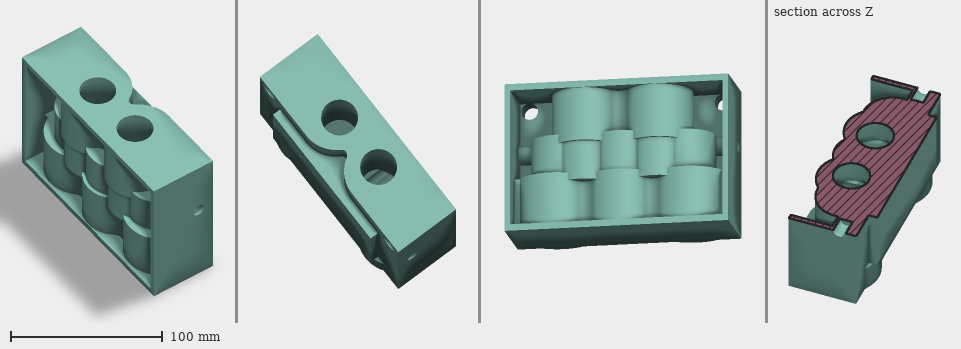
import cadquery as cq
import math

LENGTH = 150.0
HEIGHT = 100.0
BODY_DEPTH = 48.0
SIDE_WALL = 3.9
END_WALL = 4.4
POCKET_DEPTH = 36.0
INNER_HALF_LENGTH = LENGTH / 2 - SIDE_WALL
POCKET_TOP = HEIGHT - END_WALL

LOWER_TOP = 39.0
MIDDLE_BOTTOM = 34.0
MIDDLE_TOP = 65.8
UPPER_BOTTOM = 60.0

UPPER_X = 24.6
UPPER_Y = 23.2
UPPER_RADIUS = 22.5
LOWER_X = 45.0
OUTER_LOWER_Y = 27.2
OUTER_LOWER_RADIUS = 25.2
UPPER_TUBES = [(side * UPPER_X, UPPER_Y, UPPER_RADIUS) for side in (-1, 1)]
LOWER_TUBES = [
    (-LOWER_X, OUTER_LOWER_Y, OUTER_LOWER_RADIUS),
    (0, 23.0, 22.5),
    (LOWER_X, OUTER_LOWER_Y, OUTER_LOWER_RADIUS),
]
WEB_RADIUS = 6.8

LOBE_RADIUS = 20.4
LOBE_Y = UPPER_Y
OUTER_LOBE_X = 41.2
OUTER_LOBE_Y = 27.3

BLOCK_FRONT = 15.9

PLATE_WIDTH = 105.9
PLATE_BOTTOM = 18.2
PLATE_TOP = 81.9
PLATE_BACK = 54.0
NOTCH_LOBE_RADIUS = BODY_DEPTH - UPPER_Y
NOTCH_ROOT_RADIUS = 3.8

WELL_X = 21.2
WELL_Y = 23.1
WELL_RADIUS = 12.2
WELL_FLOOR = 45.0
TROUGH_X = 15.8
TROUGH_RADIUS = 3.6

CORNER_HOLE_X = 64.8
CORNER_HOLE_Z = 90.5
CORNER_HOLE_RADIUS = 5.5

PIN_Y = POCKET_DEPTH
PIN_Z = 60.5
PIN_HOLE_RADIUS = 4.4
PIN_HOLE_DEPTH = 12.0
PIN_BOSS_RADIUS = 6.6


def box(x0, x1, y0, y1, z0, z1):
    """Box given by its limits along each axis."""
    return cq.Workplane("XY").box(x1 - x0, y1 - y0, z1 - z0, centered=False).translate((x0, y0, z0))


def upright(x, y, radius, z0, z1):
    """Vertical cylinder between two levels."""
    return cq.Workplane("XY", origin=(x, y, z0)).circle(radius).extrude(z1 - z0)


def web(left, right, z0, z1):
    """Fill the front valley between two tubes up to an arc tangent to both."""
    (xl, yl, rl), (xr, yr, rr) = left, right
    reach_left = rl + WEB_RADIUS
    reach_right = rr + WEB_RADIUS
    span = math.hypot(xr - xl, yr - yl)
    along = (reach_left**2 - reach_right**2 + span**2) / (2 * span)
    forward = math.sqrt(reach_left**2 - along**2)
    ux, uy = (xr - xl) / span, (yr - yl) / span
    cx = xl + along * ux + forward * uy
    cy = yl + along * uy - forward * ux
    touch_left = (xl + (cx - xl) * rl / reach_left, yl + (cy - yl) * rl / reach_left)
    touch_right = (xr + (cx - xr) * rr / reach_right, yr + (cy - yr) * rr / reach_right)
    return (
        cq.Workplane("XY", origin=(0, 0, z0))
        .moveTo(xl, yl)
        .lineTo(*touch_left)
        .threePointArc((cx, cy + WEB_RADIUS), touch_right)
        .lineTo(xr, yr)
        .lineTo(xr, POCKET_DEPTH)
        .lineTo(xl, POCKET_DEPTH)
        .close()
        .extrude(z1 - z0)
    )


def tube_row(tubes, z0, z1):
    """Neighbouring tubes joined by webs, kept in front of the pocket floor."""
    row = upright(*tubes[0], z0, z1)
    for left, right in zip(tubes, tubes[1:]):
        row = row.union(upright(*right, z0, z1)).union(web(left, right, z0, z1))
    return row.intersect(box(-LENGTH / 2, LENGTH / 2, 0, POCKET_DEPTH, z0, z1))


def shell():
    outer = box(-LENGTH / 2, LENGTH / 2, 0, BODY_DEPTH, 0, HEIGHT)
    pocket = box(-INNER_HALF_LENGTH, INNER_HALF_LENGTH, 0, POCKET_DEPTH, END_WALL, POCKET_TOP)
    return outer.cut(pocket)


def core():
    body = tube_row(LOWER_TUBES, END_WALL, LOWER_TOP)
    block = box(-INNER_HALF_LENGTH, INNER_HALF_LENGTH, BLOCK_FRONT, POCKET_DEPTH, END_WALL, LOWER_TOP)
    body = body.union(block).union(tube_row(UPPER_TUBES, UPPER_BOTTOM, POCKET_TOP))
    body = body.union(upright(0, LOBE_Y, LOBE_RADIUS, LOWER_TOP, MIDDLE_TOP))
    for side in (-1, 1):
        body = body.union(upright(side * UPPER_X, LOBE_Y, LOBE_RADIUS, MIDDLE_BOTTOM, UPPER_BOTTOM))
        body = body.union(
            upright(side * OUTER_LOBE_X, OUTER_LOBE_Y, LOBE_RADIUS, LOWER_TOP, MIDDLE_TOP)
        )
    return body


def pin_bosses():
    """Round bar between the side walls, half sunk into the pocket floor."""
    return (
        cq.Workplane("YZ", origin=(-INNER_HALF_LENGTH, PIN_Y, PIN_Z))
        .circle(PIN_BOSS_RADIUS)
        .extrude(2 * INNER_HALF_LENGTH)
    )


def rear():
    """Rear plate with the outer lower tubes bulging out beneath it."""
    body = box(-PLATE_WIDTH / 2, PLATE_WIDTH / 2, POCKET_DEPTH, PLATE_BACK, PLATE_BOTTOM, PLATE_TOP)
    behind_pocket = box(-LENGTH / 2, LENGTH / 2, POCKET_DEPTH, PLATE_BACK, 0, PLATE_BOTTOM)
    for tube in (LOWER_TUBES[0], LOWER_TUBES[-1]):
        body = body.union(upright(*tube, 0, PLATE_BOTTOM).intersect(behind_pocket))
    return body


def notch():
    """Rounded valley between the upper tubes, cut from the rear above the plate."""
    reach = NOTCH_LOBE_RADIUS + NOTCH_ROOT_RADIUS
    rise = math.sqrt(reach**2 - UPPER_X**2)
    ratio = NOTCH_LOBE_RADIUS / reach
    touch_x = UPPER_X * (1 - ratio)
    touch_y = UPPER_Y + rise * ratio
    half_turn = math.atan2(UPPER_X, rise) / 2
    flank_x = UPPER_X - NOTCH_LOBE_RADIUS * math.sin(half_turn)
    flank_y = UPPER_Y + NOTCH_LOBE_RADIUS * math.cos(half_turn)
    return (
        cq.Workplane("XY", origin=(0, 0, PLATE_TOP))
        .moveTo(-UPPER_X, BODY_DEPTH)
        .threePointArc((-flank_x, flank_y), (-touch_x, touch_y))
        .threePointArc((0, UPPER_Y + rise - NOTCH_ROOT_RADIUS), (touch_x, touch_y))
        .threePointArc((flank_x, flank_y), (UPPER_X, BODY_DEPTH))
        .close()
        .extrude(HEIGHT - PLATE_TOP)
    )


def well(side):
    shaft = upright(side * WELL_X, WELL_Y, WELL_RADIUS, WELL_FLOOR, HEIGHT)
    trough = (
        cq.Workplane("XZ", origin=(side * TROUGH_X, WELL_Y + WELL_RADIUS, WELL_FLOOR))
        .circle(TROUGH_RADIUS)
        .extrude(2 * WELL_RADIUS)
    )
    within_shaft = upright(side * WELL_X, WELL_Y, WELL_RADIUS, WELL_FLOOR - TROUGH_RADIUS, HEIGHT)
    return shaft.union(trough.intersect(within_shaft))


def corner_hole(side):
    return (
        cq.Workplane("XZ", origin=(side * CORNER_HOLE_X, BODY_DEPTH, CORNER_HOLE_Z))
        .circle(CORNER_HOLE_RADIUS)
        .extrude(BODY_DEPTH - POCKET_DEPTH)
    )


def pin_hole(side):
    return (
        cq.Workplane("YZ", origin=(side * LENGTH / 2, PIN_Y, PIN_Z))
        .circle(PIN_HOLE_RADIUS)
        .extrude(-side * PIN_HOLE_DEPTH)
    )


result = shell().union(core()).union(pin_bosses()).union(rear()).cut(notch())
for side in (-1, 1):
    result = result.cut(well(side)).cut(corner_hole(side)).cut(pin_hole(side))